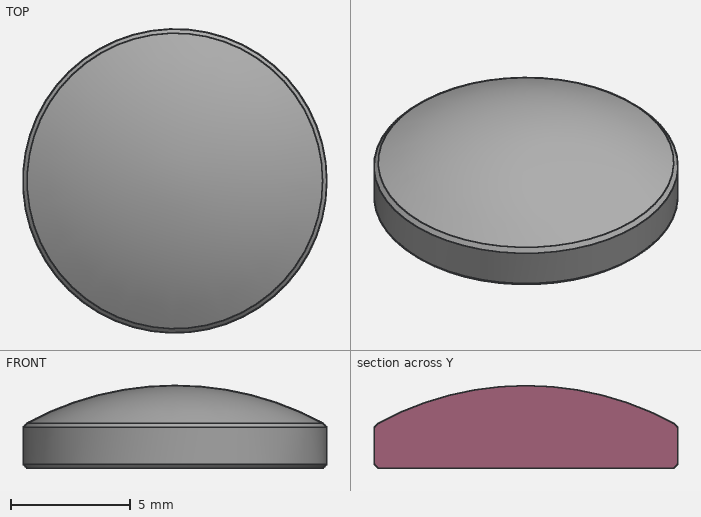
import cadquery as cq
import math

diameter = 12.7
center_thickness = 3.47
convex_radius = 12.9
bevel = 0.18

rim_radius = diameter / 2
face_radius = rim_radius - bevel


def dome_height(radius):
    """Height of the convex face at a distance from the optical axis."""
    sag = convex_radius - math.sqrt(convex_radius**2 - radius**2)
    return center_thickness - sag


dome_edge_height = dome_height(face_radius)

half_section = (
    cq.Workplane("XZ")
    .lineTo(face_radius, 0)
    .lineTo(rim_radius, bevel)
    .lineTo(rim_radius, dome_edge_height - bevel)
    .lineTo(face_radius, dome_edge_height)
    .threePointArc(
        (face_radius / 2, dome_height(face_radius / 2)),
        (0, center_thickness),
    )
    .close()
)

result = half_section.revolve(360, (0, 0, 0), (0, 1, 0))